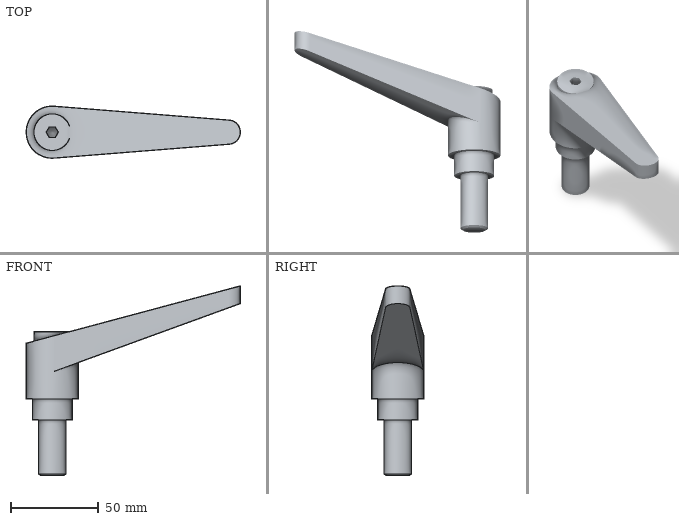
import cadquery as cq
import math

hub_radius = 15.0
collar_diameter = 23.0
collar_length = 12.0
stud_diameter = 16.0
stud_length = 32.0
stud_chamfer_width = 1.5
stud_chamfer_height = 1.0

tip_radius = 7.0
tip_center_x = 101.0
top_slope = math.radians(15.0)
bottom_slope = math.radians(20.0)
top_height_at_axis = 35.96
tip_thickness = 10.2

cap_diameter = 21.0
cap_top = 38.6
socket_across_flats = 6.0
socket_depth = 6.0
socket_point_angle = math.radians(120.0)

tip_end_x = tip_center_x + tip_radius
tip_bottom = top_height_at_axis + tip_end_x * math.tan(top_slope) - tip_thickness

flank_sine = (hub_radius - tip_radius) / tip_center_x
flank_cosine = math.sqrt(1.0 - flank_sine**2)
hub_tangent_x = hub_radius * flank_sine
hub_tangent_y = hub_radius * flank_cosine
tip_tangent_x = tip_center_x + tip_radius * flank_sine
tip_tangent_y = tip_radius * flank_cosine


def top_z(x):
    """Height of the sloped top face at x."""
    return top_height_at_axis + x * math.tan(top_slope)


def bottom_z(x):
    """Height of the sloped arm underside at x."""
    return tip_bottom - (tip_end_x - x) * math.tan(bottom_slope)


def plan_prism():
    """Teardrop plan of hub and arm, extruded to the arm's highest point."""
    return (
        cq.Workplane("XY")
        .moveTo(hub_tangent_x, -hub_tangent_y)
        .lineTo(tip_tangent_x, -tip_tangent_y)
        .threePointArc((tip_end_x, 0), (tip_tangent_x, tip_tangent_y))
        .lineTo(hub_tangent_x, hub_tangent_y)
        .threePointArc((-hub_radius, 0), (hub_tangent_x, -hub_tangent_y))
        .close()
        .extrude(top_z(tip_end_x))
    )


def side_prism(points):
    """Side outline in XZ, extruded across more than the part's width."""
    return cq.Workplane("XZ").polyline(points).close().extrude(2 * hub_radius, both=True)


def make_arm():
    """Tapered arm, bounded by the top and bottom slopes."""
    profile = [
        (hub_tangent_x, bottom_z(hub_tangent_x)),
        (tip_end_x, bottom_z(tip_end_x)),
        (tip_end_x, top_z(tip_end_x)),
        (hub_tangent_x, top_z(hub_tangent_x)),
    ]
    return plan_prism().intersect(side_prism(profile))


def make_hub():
    """Upright cylinder cut off by the top slope."""
    profile = [
        (-hub_radius, 0),
        (hub_radius, 0),
        (hub_radius, top_z(hub_radius)),
        (-hub_radius, top_z(-hub_radius)),
    ]
    cylinder = cq.Workplane("XY").circle(hub_radius).extrude(top_z(hub_radius))
    return cylinder.intersect(side_prism(profile))


def make_stud():
    """Collar below the hub, then the stud with its chamfered end."""
    collar = cq.Workplane("XY").circle(collar_diameter / 2).extrude(-collar_length)
    stud = (
        cq.Workplane("XY")
        .workplane(offset=-collar_length)
        .circle(stud_diameter / 2)
        .extrude(-stud_length)
        .faces("<Z")
        .chamfer(stud_chamfer_height, stud_chamfer_width)
    )
    return collar.union(stud)


def make_cap():
    """Round screw cap, sunk into the hub below the top slope."""
    return cq.Workplane("XY").circle(cap_diameter / 2).extrude(cap_top)


def make_socket():
    """Hexagon socket with corners along X and a conical drill-point floor."""
    corner_radius = socket_across_flats / 2 / math.cos(math.pi / 6)
    point_depth = corner_radius / math.tan(socket_point_angle / 2)
    hexagon = (
        cq.Workplane("XY")
        .workplane(offset=cap_top)
        .polygon(6, 2 * corner_radius)
        .extrude(-(socket_depth + point_depth))
    )
    pointed_bore = (
        cq.Workplane("XZ")
        .moveTo(0, cap_top)
        .lineTo(corner_radius, cap_top)
        .lineTo(corner_radius, cap_top - socket_depth)
        .lineTo(0, cap_top - socket_depth - point_depth)
        .close()
        .revolve(360, (0, 0, 0), (0, 1, 0))
    )
    return hexagon.intersect(pointed_bore)


body = make_hub().union(make_arm()).union(make_stud()).union(make_cap())
result = body.cut(make_socket())